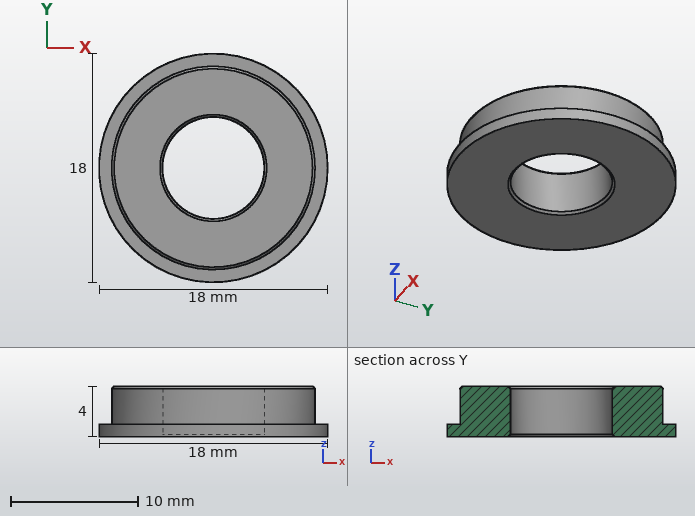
import cadquery as cq

flange_diameter = 18.0
flange_thickness = 1.0
body_diameter = 16.0
bore_diameter = 8.0
total_height = 4.0
edge_chamfer = 0.2


def flanged_blank():
    """Solid flange at the base with the chamfered cylindrical body above it."""
    flange = cq.Workplane("XY").circle(flange_diameter / 2).extrude(flange_thickness)
    body = (
        cq.Workplane("XY")
        .circle(body_diameter / 2)
        .extrude(total_height)
        .faces(">Z")
        .edges()
        .chamfer(edge_chamfer)
    )
    return flange.union(body)


def bore_cutter():
    """Through bore, flared by a chamfer at both ends."""
    bore_radius = bore_diameter / 2
    mouth_radius = bore_radius + edge_chamfer
    profile = [
        (0, 0),
        (mouth_radius, 0),
        (bore_radius, edge_chamfer),
        (bore_radius, total_height - edge_chamfer),
        (mouth_radius, total_height),
        (0, total_height),
    ]
    return cq.Workplane("XZ").polyline(profile).close().revolve(360, (0, 0, 0), (0, 1, 0))


result = flanged_blank().cut(bore_cutter())